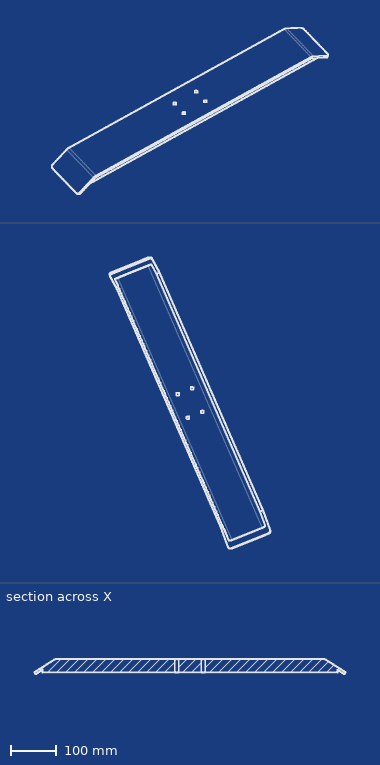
import cadquery as cq
import math

length = 680.0
width = 100.0
height = 34.0
thickness = 5.5
ramp_angle = math.radians(32.5)
bend_radius = 12.0
corner_radius = 6.0

body_depth = 30.0
body_length = 644.5
body_inset = 7.0
body_edge_radius = 7.5

hole_diameter = 7.0
hole_spacing_x = 34.0
hole_spacing_y = 58.0

ramp_drop = height - thickness * math.cos(ramp_angle)
bend_y = length / 2 - ramp_drop / math.tan(ramp_angle)
tip_bottom_y = length / 2 - thickness * math.sin(ramp_angle)
inner_bend_y = bend_y - thickness * math.tan(ramp_angle / 2)


def extrude_across(points, span):
    """Extrude a closed YZ outline over a span centred on X."""
    return cq.Workplane("YZ").polyline(points).close().extrude(span / 2, both=True)


def make_plate():
    plate = extrude_across([
        (-length / 2, -ramp_drop),
        (-bend_y, 0),
        (bend_y, 0),
        (length / 2, -ramp_drop),
        (tip_bottom_y, -height),
        (inner_bend_y, -thickness),
        (-inner_bend_y, -thickness),
        (-tip_bottom_y, -height),
    ], width)
    top_bends = cq.selectors.BoxSelector(
        (-width, -bend_y - thickness / 4, -thickness / 4),
        (width, bend_y + thickness / 4, thickness / 4),
    )
    plate = plate.edges("|X").edges(top_bends).fillet(bend_radius)
    for end in (">Y", "<Y"):
        plate = plate.faces(end).edges("not(|X)").fillet(corner_radius)
    return plate


def make_body():
    end_y = body_length / 2
    end_top_z = -thickness - (end_y - inner_bend_y) * math.tan(ramp_angle)
    body = extrude_across([
        (-inner_bend_y, -thickness),
        (inner_bend_y, -thickness),
        (end_y, end_top_z),
        (end_y, -body_depth),
        (-end_y, -body_depth),
        (-end_y, end_top_z),
    ], width - 2 * body_inset)
    return body.faces("<Z").edges("|Y").fillet(body_edge_radius)


holes = (
    cq.Workplane("XY")
    .rarray(hole_spacing_x, hole_spacing_y, 2, 2)
    .circle(hole_diameter / 2)
    .extrude(-height)
)

result = make_plate().union(make_body()).cut(holes)